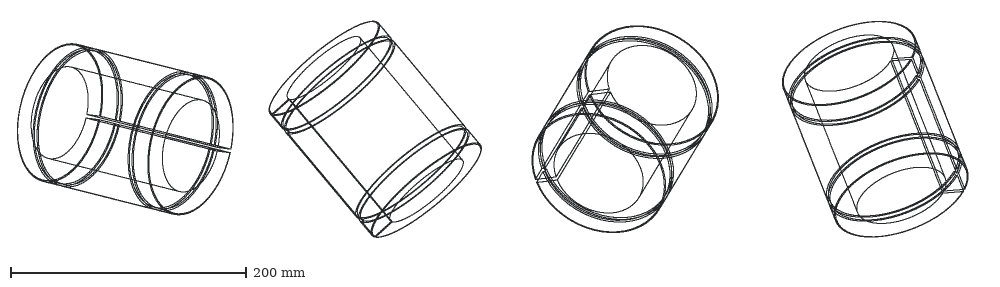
import cadquery as cq

length = 140.0
outer_diameter = 120.0
bore_diameter = 80.1

groove_span = 105.5
groove_width = 4.2
groove_diameter = 116.5

chamfer_axial = 0.4
chamfer_radial = 1.0

slit_width = 3.1
slit_angle = -20.0

outer_radius = outer_diameter / 2
bore_radius = bore_diameter / 2
half_length = length / 2


def make_sleeve():
    """Revolve the chamfered wall section about the X axis."""
    rim_radius = outer_radius - chamfer_radial
    shoulder = half_length - chamfer_axial
    section = (
        cq.Workplane("XY")
        .moveTo(-half_length, bore_radius)
        .lineTo(-half_length, rim_radius)
        .lineTo(-shoulder, outer_radius)
        .lineTo(shoulder, outer_radius)
        .lineTo(half_length, rim_radius)
        .lineTo(half_length, bore_radius)
        .close()
    )
    return section.revolve(360, (0, 0, 0), (1, 0, 0))


def make_groove(center_x):
    """Ring of material removed for one groove."""
    return (
        cq.Workplane("YZ", origin=(center_x - groove_width / 2, 0, 0))
        .circle(outer_diameter)
        .circle(groove_diameter / 2)
        .extrude(groove_width)
    )


def make_slit():
    """Radial slab running from the axis out through the wall."""
    slab = cq.Workplane("XY").box(
        length, outer_diameter, slit_width, centered=(True, False, True)
    )
    return slab.rotate((0, 0, 0), (1, 0, 0), slit_angle)


result = make_sleeve()
groove_center = (groove_span - groove_width) / 2
for side in (-1, 1):
    result = result.cut(make_groove(side * groove_center))
result = result.cut(make_slit())